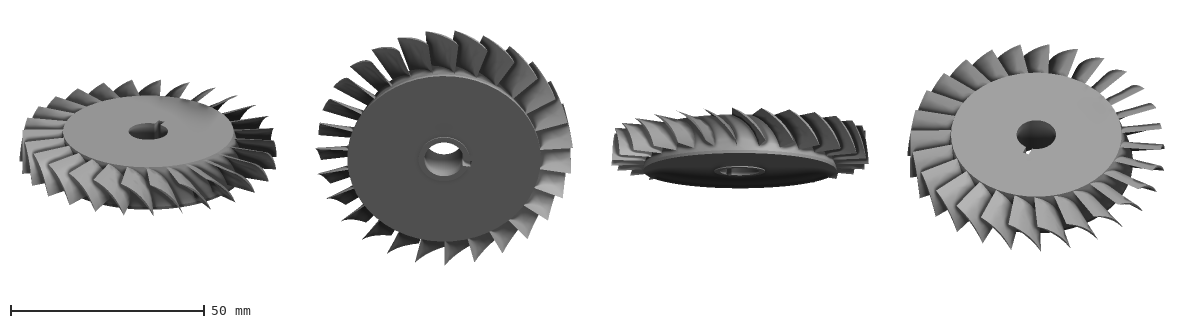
import cadquery as cq
import math

total_height = 11.0
rim_diameter = 50.0
top_diameter = 44.1
boss_diameter = 13.2
boss_height = 0.25
rim_height = 0.8

bore_diameter = 10.2
keyway_width = 1.65
keyway_reach = 7.2

blade_count = 27
blade_bottom = 2.2
blade_top = 10.8
blade_height = blade_top - blade_bottom
root_distance = 21.3
tip_trailing_distance = 32.8
tip_leading_distance = 32.45
leading_edge_x = 2.3
root_trailing_x = -4.1
tip_trailing_x = -6.25
root_bulge = 1.65
tip_bulge = 0.85
blade_thickness = 0.5


def make_hub():
    """Revolve the hub outline, then cut the keyed bore."""
    rim_radius = rim_diameter / 2
    hub = (
        cq.Workplane("XZ")
        .moveTo(0, 0)
        .lineTo(boss_diameter / 2, 0)
        .lineTo(boss_diameter / 2, boss_height)
        .lineTo(rim_radius, boss_height)
        .lineTo(rim_radius, boss_height + rim_height)
        .lineTo(top_diameter / 2, total_height)
        .lineTo(0, total_height)
        .close()
        .revolve(360, (0, 0, 0), (0, 1, 0))
    )
    bore = cq.Workplane("XY").circle(bore_diameter / 2).extrude(total_height)
    keyway = (
        cq.Workplane("XY")
        .box(keyway_width, keyway_reach, total_height, centered=(True, False, False))
    )
    return hub.cut(bore).cut(keyway)


def blade_section(leading_distance, trailing_distance, trailing_x, bulge):
    """Crescent of two arcs, in the vertical plane through its two corners."""
    chord_x = leading_edge_x - trailing_x
    chord = math.hypot(chord_x, blade_height)
    middle_x = (leading_edge_x + trailing_x) / 2
    middle_z = (blade_top + blade_bottom) / 2

    def arc_middle(offset):
        x = middle_x - offset * blade_height / chord
        z = middle_z + offset * chord_x / chord
        lean = (leading_distance - trailing_distance) / chord_x
        return cq.Vector(x, trailing_distance + lean * (x - trailing_x), z)

    upper = cq.Vector(leading_edge_x, leading_distance, blade_top)
    lower = cq.Vector(trailing_x, trailing_distance, blade_bottom)
    inner_arc = cq.Edge.makeThreePointArc(upper, arc_middle(bulge), lower)
    outer_arc = cq.Edge.makeThreePointArc(lower, arc_middle(bulge + blade_thickness), upper)
    return cq.Wire.assembleEdges([inner_arc, outer_arc])


def make_blade():
    """Straight loft from the root crescent to the flat tip crescent."""
    root = blade_section(root_distance, root_distance, root_trailing_x, root_bulge)
    tip = blade_section(tip_leading_distance, tip_trailing_distance, tip_trailing_x, tip_bulge)
    return cq.Solid.makeLoft([root, tip], True)


result = make_hub()
blade = make_blade()
for index in range(blade_count):
    angle = index * 360 / blade_count
    turned_blade = blade.rotate(cq.Vector(0, 0, 0), cq.Vector(0, 0, 1), angle)
    result = result.union(cq.Workplane(turned_blade))